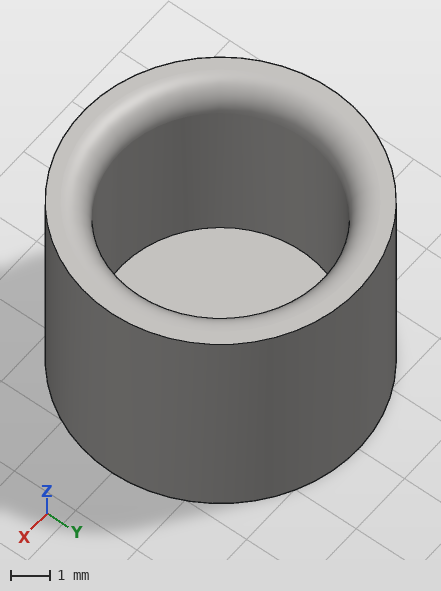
import cadquery as cq

outer_diameter = 9.0
height = 7.1
bore_diameter = 6.6
mouth_radius = 0.8

wall_thickness = (outer_diameter - bore_diameter) / 2
floor_thickness = wall_thickness
bore_depth = height - floor_thickness

body = cq.Workplane("XY").circle(outer_diameter / 2).extrude(height)

cup = body.faces(">Z").workplane().circle(bore_diameter / 2).cutBlind(-bore_depth)

result = cup.faces(">Z").edges(cq.selectors.RadiusNthSelector(0)).fillet(mouth_radius)